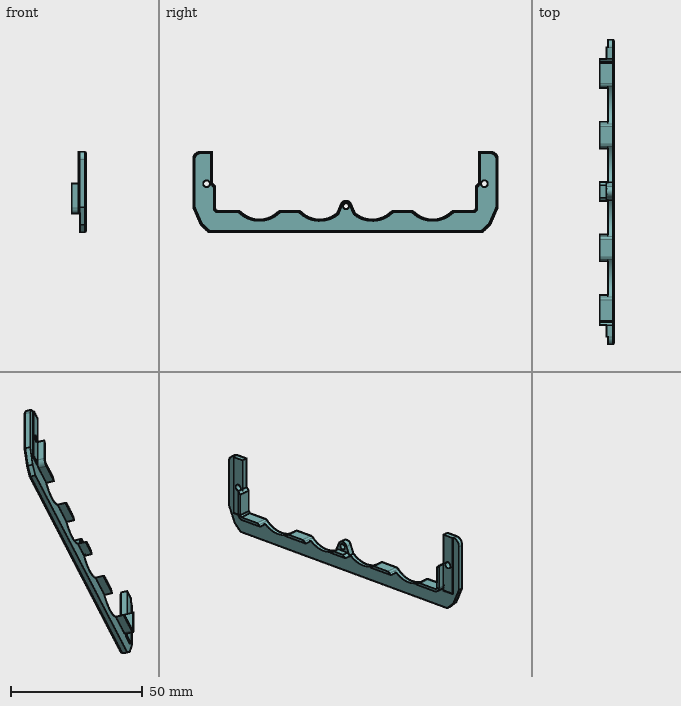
import cadquery as cq
import math

BACK_X = 5.6
PLATE_FRONT_X = 3.1
PANEL_FRONT_X = 2.6
BACK_CHAMFER = 0.6

LENGTH = 116.1
HEIGHT = 30.7
POST_CORNER_RADIUS = 2.9
BOTTOM_HALF = 52.1
LOWER_CORNER_Z = 2.9
SIDE_BOTTOM_Z = 9.5

POST_INNER_Y = 50.7
LEDGE_WIDTH = 1.1
LEDGE_BOTTOM_Z = 7.1
LEDGE_END_Z = 18.6
LEDGE_OUTER_RADIUS = 2.2
LEDGE_INNER_CHAMFER = 0.65

PATTERN_CENTER_Y = 0.2
INNER_SCALLOP_OFFSET = 10.0
OUTER_SCALLOP_OFFSET = 33.0
SCALLOP_RADIUS = 10.3
SCALLOP_BOTTOM_Z = 4.9
SCALLOP_EDGE_RADIUS = 1.5

LUG_RADIUS = 2.1
LUG_CENTER_Z = 9.95
LUG_FOOT_Y = 3.5
LUG_HOLE_DIAMETER = 2.2
POST_HOLE_DIAMETER = 2.5
POST_HOLE_Y = 52.9
POST_HOLE_Z = 18.5

HALF_LENGTH = LENGTH / 2
PANEL_OUTER_Y = HALF_LENGTH - POST_CORNER_RADIUS
LEDGE_INNER_Y = POST_INNER_Y - LEDGE_WIDTH
LEDGE_TOP_Z = LEDGE_BOTTOM_Z + LEDGE_WIDTH
SCALLOP_CENTERS = (
    PATTERN_CENTER_Y - OUTER_SCALLOP_OFFSET,
    PATTERN_CENTER_Y - INNER_SCALLOP_OFFSET,
    PATTERN_CENTER_Y + INNER_SCALLOP_OFFSET,
    PATTERN_CENTER_Y + OUTER_SCALLOP_OFFSET,
)
SCALLOP_CENTER_Z = SCALLOP_BOTTOM_Z + SCALLOP_RADIUS
SCALLOP_HALF_CHORD = math.sqrt(SCALLOP_RADIUS**2 - (SCALLOP_CENTER_Z - LEDGE_TOP_Z) ** 2)
TOLERANCE = 0.01


def sketch_plane(x):
    """Plane at depth x, drawn in (Y, Z) and extruded toward +X."""
    return cq.Workplane("YZ", origin=(x, 0, 0))


def mirrored(points):
    """Close a half outline given on the +Y side by its reflection."""
    return points + [(-y, z) for y, z in reversed(points)]


def make_plate():
    outline = mirrored([
        (BOTTOM_HALF, 0),
        (PANEL_OUTER_Y, LOWER_CORNER_Z),
        (HALF_LENGTH, SIDE_BOTTOM_Z),
        (HALF_LENGTH, HEIGHT),
    ])
    plate = sketch_plane(PLATE_FRONT_X).polyline(outline).close().extrude(BACK_X - PLATE_FRONT_X)
    return plate.edges("|X and >Z").fillet(POST_CORNER_RADIUS)


def make_post_panel(side):
    """Slightly raised face of one post, side = +1 or -1."""
    width = PANEL_OUTER_Y - POST_INNER_Y
    return (
        sketch_plane(PANEL_FRONT_X)
        .center(side * (POST_INNER_Y + width / 2), (LEDGE_BOTTOM_Z + HEIGHT) / 2)
        .rect(width, HEIGHT - LEDGE_BOTTOM_Z)
        .extrude(PLATE_FRONT_X - PANEL_FRONT_X)
    )


def make_ledge_block():
    """Full block whose outer faces bound the ledge before the opening is cut."""
    block = (
        sketch_plane(0)
        .center(0, (LEDGE_BOTTOM_Z + LEDGE_END_Z) / 2)
        .rect(2 * POST_INNER_Y, LEDGE_END_Z - LEDGE_BOTTOM_Z)
        .extrude(PLATE_FRONT_X)
    )
    return block.edges("|X and <Z").fillet(LEDGE_OUTER_RADIUS)


def make_opening():
    """Space between the posts, above the crossbar and its scallops."""
    post_side = [
        (LEDGE_INNER_Y - LEDGE_INNER_CHAMFER, LEDGE_TOP_Z),
        (LEDGE_INNER_Y, LEDGE_TOP_Z + LEDGE_INNER_CHAMFER),
        (LEDGE_INNER_Y, LEDGE_END_Z - LEDGE_WIDTH),
        (POST_INNER_Y, LEDGE_END_Z),
        (POST_INNER_Y, HEIGHT),
    ]
    outline = sketch_plane(0).polyline(mirrored(post_side))
    for center in SCALLOP_CENTERS:
        outline = outline.lineTo(center - SCALLOP_HALF_CHORD, LEDGE_TOP_Z)
        outline = outline.threePointArc(
            (center, SCALLOP_BOTTOM_Z),
            (center + SCALLOP_HALF_CHORD, LEDGE_TOP_Z),
        )
    return outline.close().extrude(BACK_X)


def round_scallop_edges(opening):
    """Round the junction of ledge top and scallops, except beside the centre lug."""
    for center in SCALLOP_CENTERS:
        for y in (center - SCALLOP_HALF_CHORD, center + SCALLOP_HALF_CHORD):
            if abs(y - PATTERN_CENTER_Y) < INNER_SCALLOP_OFFSET:
                continue
            corner = cq.selectors.BoxSelector(
                (-TOLERANCE, y - TOLERANCE, LEDGE_TOP_Z - TOLERANCE),
                (BACK_X + TOLERANCE, y + TOLERANCE, LEDGE_TOP_Z + TOLERANCE),
                boundingbox=True,
            )
            opening = opening.edges(corner).fillet(SCALLOP_EDGE_RADIUS)
    return opening


def make_lug():
    """Rounded ear whose straight sides run tangent from its top arc into the crossbar."""
    foot_drop = LUG_CENTER_Z - LEDGE_BOTTOM_Z
    foot_distance = math.hypot(LUG_FOOT_Y, foot_drop)
    angle = math.acos(LUG_RADIUS / foot_distance) - math.atan2(foot_drop, LUG_FOOT_Y)
    tangent_y = LUG_RADIUS * math.cos(angle)
    tangent_z = LUG_CENTER_Z + LUG_RADIUS * math.sin(angle)
    return (
        sketch_plane(PANEL_FRONT_X)
        .center(PATTERN_CENTER_Y, 0)
        .moveTo(-LUG_FOOT_Y, LEDGE_BOTTOM_Z)
        .lineTo(-tangent_y, tangent_z)
        .threePointArc((0, LUG_CENTER_Z + LUG_RADIUS), (tangent_y, tangent_z))
        .lineTo(LUG_FOOT_Y, LEDGE_BOTTOM_Z)
        .close()
        .extrude(BACK_X - PANEL_FRONT_X)
    )


def make_holes():
    post_centers = [(-POST_HOLE_Y, POST_HOLE_Z), (POST_HOLE_Y, POST_HOLE_Z)]
    post_holes = sketch_plane(0).pushPoints(post_centers).circle(POST_HOLE_DIAMETER / 2).extrude(BACK_X)
    lug_hole = (
        sketch_plane(0)
        .center(PATTERN_CENTER_Y, LUG_CENTER_Z)
        .circle(LUG_HOLE_DIAMETER / 2)
        .extrude(BACK_X)
    )
    return post_holes.union(lug_hole)


body = make_plate().union(make_ledge_block())
for side in (-1, 1):
    body = body.union(make_post_panel(side))
opening = round_scallop_edges(make_opening())
body = body.cut(opening).union(make_lug()).clean()
body = body.faces(">X").chamfer(BACK_CHAMFER)
result = body.cut(make_holes())